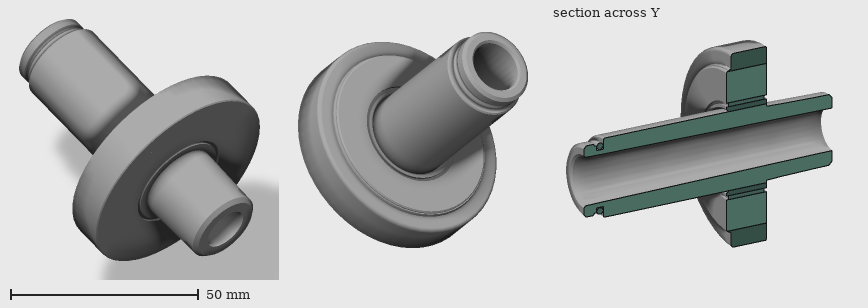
import cadquery as cq

total_length = 76.0
shaft_radius = 11.5
shoulder_x = 6.0
shoulder_chamfer = 0.4
roller_left_x = 45.0
roller_right_x = 55.9

oring_section_radius = 1.0
oring_x = shoulder_x - oring_section_radius

nose_radius = 10.3
nose_chamfer_length = 0.75
nose_face_radius = 9.4
nose_right_x = 3.05
neck_x = 3.4
neck_radius = 9.7
groove_x = oring_x - oring_section_radius
oring_centre_radius = nose_radius - oring_section_radius
groove_floor_radius = oring_centre_radius - oring_section_radius
shank_base_radius = 10.7
shank_tip_radius = 10.25
shank_tip_face_radius = 9.1
shank_chamfer_length = 1.1

bore_mouth_radius = 7.5
bore_chamfer = 0.6
bore_left_radius = bore_mouth_radius - bore_chamfer
bore_right_radius = 6.1

bearing_left_x = 43.55
bearing_radius = 23.1
bearing_rim_chamfer = 0.4
outer_ring_bore_diameter = 27.75
outer_ring_bore_radius = outer_ring_bore_diameter / 2
inner_ring_radius = 12.9
inner_ring_chamfer = 0.7
seal_recess = 0.7

roller_diameter = 56.0
roller_radius = roller_diameter / 2
roller_rounding = 1.0
roller_back_chamfer = 0.3
lip_height = 0.75
lip_base_radius = 23.6
lip_top_radius = 23.3


def turn(points):
    """Revolve a closed (x, radius) outline about the X axis."""
    return cq.Workplane("XY").polyline(points).close().revolve(360, (0, 0, 0), (1, 0, 0))


def tube(left_x, right_x, inner_radius, outer_radius):
    return turn([
        (left_x, inner_radius),
        (left_x, outer_radius),
        (right_x, outer_radius),
        (right_x, inner_radius),
    ])


def make_shaft():
    return turn([
        (0, bore_mouth_radius),
        (0, nose_face_radius),
        (nose_chamfer_length, nose_radius),
        (nose_right_x, nose_radius),
        (neck_x, neck_radius),
        (groove_x, neck_radius),
        (groove_x, groove_floor_radius),
        (shoulder_x, groove_floor_radius),
        (shoulder_x, shaft_radius - shoulder_chamfer),
        (shoulder_x + shoulder_chamfer, shaft_radius),
        (roller_right_x, shaft_radius),
        (roller_right_x, shank_base_radius),
        (total_length - shank_chamfer_length, shank_tip_radius),
        (total_length, shank_tip_face_radius),
        (total_length, bore_right_radius),
        (bore_chamfer, bore_left_radius),
    ])


def make_oring():
    section = cq.Workplane("XY").center(oring_x, oring_centre_radius).circle(oring_section_radius)
    axis_start = (0, -oring_centre_radius, 0)
    axis_end = (1, -oring_centre_radius, 0)
    return section.revolve(360, axis_start, axis_end)


def make_inner_ring():
    return turn([
        (bearing_left_x, shaft_radius + inner_ring_chamfer),
        (bearing_left_x, inner_ring_radius),
        (roller_right_x, inner_ring_radius),
        (roller_right_x, shaft_radius),
        (bearing_left_x + inner_ring_chamfer, shaft_radius),
    ])


def make_outer_ring():
    return turn([
        (bearing_left_x, outer_ring_bore_radius),
        (bearing_left_x, bearing_radius - bearing_rim_chamfer),
        (bearing_left_x + bearing_rim_chamfer, bearing_radius),
        (roller_right_x, bearing_radius),
        (roller_right_x, outer_ring_bore_radius),
    ])


def make_seal():
    return tube(
        bearing_left_x + seal_recess,
        roller_right_x - seal_recess,
        inner_ring_radius,
        outer_ring_bore_radius,
    )


def make_roller():
    body = tube(roller_left_x, roller_right_x, bearing_radius, roller_radius)
    rim = cq.selectors.RadiusNthSelector(-1)
    body = body.faces("<X").edges(rim).fillet(roller_rounding)
    body = body.faces(">X").edges(rim).chamfer(roller_back_chamfer)
    lip = turn([
        (roller_left_x, bearing_radius),
        (roller_left_x, lip_base_radius),
        (roller_left_x - lip_height, lip_top_radius),
        (roller_left_x - lip_height, bearing_radius),
    ])
    return body.union(lip)


shaft = make_shaft()
oring = make_oring()
inner_ring = make_inner_ring()
outer_ring = make_outer_ring()
seal = make_seal()
roller = make_roller()

result = cq.Compound.makeCompound([
    shaft.val(),
    oring.val(),
    inner_ring.val(),
    outer_ring.val(),
    seal.val(),
    roller.val(),
])